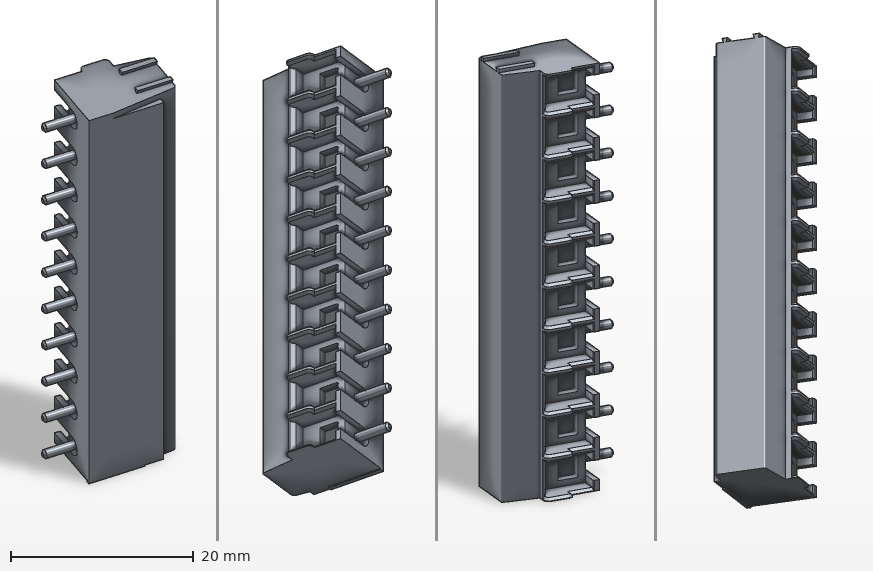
import cadquery as cq

pole_count = 10
pole_pitch = 5.0
bottom_margin = 2.45
top_margin = 2.5
body_height = bottom_margin + (pole_count - 1) * pole_pitch + top_margin

wall_x = 0.75
back_x = 9.0
depth = 11.3
shoulder_y = 6.95
plug_base_x = 1.5
plug_left_x = 2.05
plug_right_x = 8.0
taper_end_y = 3.05
left_corner_radius = 0.2
right_corner_radius = 0.45

fin_thickness = 0.9
fin_edge_bevel = 0.3
fin_foot_y = 3.45
fin_radius = 0.6
top_fin_drop = 0.1

cell_floor_x = 2.75
cell_end_y = 6.3
front_wall = 0.75
front_wall_bevel = 0.15
ramp_foot_x = 1.35
ramp_top_x = 0.8
ramp_top_y = 6.8

opening_width = 2.45
opening_height = 2.6
opening_center_y = 2.9
opening_depth = 1
opening_radius = 0.25

pin_x = 5.0
pin_diameter = 1.05
pin_length = 3.65
pin_tip_bevel = 0.25
slot_height = 2.35

ridge_sizes = [(3.15, 0.75, 0.5), (6.9, 0.65, 0.35)]
ridge_height = 0.45

strip_depth_y = 9.2
strip_inner_x = 7.6
strip_top_drop = 0.75
lip_inner_x = 8.5
lip_drop = 0.15


def box(x0, x1, y0, y1, z0, z1):
    """Axis-aligned box between the given limits."""
    return cq.Workplane("XY").box(x1 - x0, y1 - y0, z1 - z0, centered=False).translate((x0, y0, z0))


def make_housing():
    """Tapered block that carries all poles."""
    housing = (
        cq.Workplane("XY")
        .moveTo(wall_x, 0)
        .lineTo(back_x, 0)
        .lineTo(back_x, taper_end_y)
        .lineTo(plug_right_x, depth)
        .lineTo(plug_left_x, depth)
        .lineTo(plug_base_x, shoulder_y)
        .lineTo(wall_x, shoulder_y)
        .close()
        .extrude(body_height)
    )
    housing = housing.faces(">Y").edges("|Z").edges("<X").fillet(left_corner_radius)
    return housing.faces(">Y").edges("|Z").edges(">X").fillet(right_corner_radius)


def make_strip():
    """Strip along the +X side with a lip reaching below the housing."""
    strip = box(strip_inner_x, back_x, 0, strip_depth_y, 0, body_height - strip_top_drop)
    return strip.union(box(lip_inner_x, back_x, 0, shoulder_y, -lip_drop, 0))


def make_trough():
    """Trough over the full height that the fins divide into wire cells."""
    return (
        cq.Workplane("XY")
        .moveTo(0, front_wall - front_wall_bevel)
        .lineTo(wall_x, front_wall - front_wall_bevel)
        .lineTo(wall_x + front_wall_bevel, front_wall)
        .lineTo(cell_floor_x, front_wall)
        .lineTo(cell_floor_x, cell_end_y)
        .lineTo(ramp_foot_x, cell_end_y)
        .lineTo(ramp_top_x, ramp_top_y)
        .lineTo(ramp_top_x, shoulder_y)
        .lineTo(0, shoulder_y)
        .close()
        .extrude(body_height)
    )


def make_opening():
    """Contact opening in the cell floor, centered on Z = 0."""
    return (
        cq.Workplane("YZ", origin=(cell_floor_x, opening_center_y, 0))
        .rect(opening_width, opening_height)
        .extrude(opening_depth)
        .edges("|X and <Y")
        .fillet(opening_radius)
    )


def make_slot():
    """Round-ended slot through the front wall, centered on Z = 0."""
    straight = box(0, pin_x, 0, front_wall, -slot_height / 2, slot_height / 2)
    round_end = (
        cq.Workplane("XZ", origin=(pin_x, 0, 0))
        .circle(slot_height / 2)
        .extrude(-front_wall)
    )
    return straight.union(round_end)


def make_fin():
    """Divider fin with beveled free edges, centered on Z = 0."""
    fin = (
        cq.Workplane("XY")
        .workplane(offset=-fin_thickness / 2)
        .moveTo(cell_floor_x, front_wall - front_wall_bevel)
        .lineTo(wall_x, front_wall - front_wall_bevel)
        .lineTo(wall_x, fin_foot_y)
        .lineTo(fin_radius, fin_foot_y)
        .radiusArc((0, fin_foot_y + fin_radius), fin_radius)
        .lineTo(0, shoulder_y - fin_radius)
        .radiusArc((fin_radius, shoulder_y), fin_radius)
        .lineTo(cell_floor_x, shoulder_y)
        .close()
        .extrude(fin_thickness)
    )
    free_edges = cq.selectors.BoxSelector(
        (-fin_radius, front_wall, -fin_thickness),
        (ramp_top_x, ramp_top_y, fin_thickness),
    )
    return fin.faces("|Z").edges(free_edges).chamfer(fin_edge_bevel)


def make_pin():
    """Solder pin with a beveled tip, rooted on the slot floor."""
    pin = (
        cq.Workplane("XZ", origin=(pin_x, front_wall, 0))
        .circle(pin_diameter / 2)
        .extrude(front_wall + pin_length)
    )
    return pin.faces("<Y").chamfer(pin_tip_bevel)


def make_ridge(center_x, tip_width, root_width):
    """Dovetail ridge standing on the +Z end."""
    return (
        cq.Workplane("XZ", origin=(center_x, shoulder_y, body_height))
        .moveTo(-root_width / 2, 0)
        .lineTo(-tip_width / 2, ridge_height)
        .lineTo(tip_width / 2, ridge_height)
        .lineTo(root_width / 2, 0)
        .close()
        .extrude(shoulder_y - depth)
    )


result = make_housing().cut(make_trough()).union(make_strip())

body_limits = box(0, back_x, 0, depth, 0, body_height)
for gap in range(pole_count + 1):
    fin_z = bottom_margin + (gap - 0.5) * pole_pitch
    if gap == pole_count:
        fin_z -= top_fin_drop
    result = result.union(make_fin().translate((0, 0, fin_z)).intersect(body_limits))

for pole in range(pole_count):
    pole_position = (0, 0, bottom_margin + pole * pole_pitch)
    result = result.cut(make_opening().translate(pole_position))
    result = result.cut(make_slot().translate(pole_position))
    result = result.union(make_pin().translate(pole_position))

for center_x, tip_width, root_width in ridge_sizes:
    result = result.union(make_ridge(center_x, tip_width, root_width))